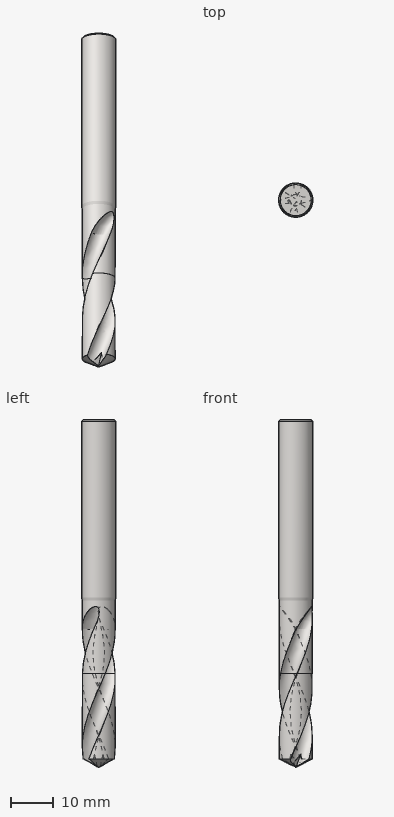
import cadquery as cq
import math

TOTAL_LENGTH = 81.0
SHANK_DIAMETER = 8.0
DRILL_DIAMETER = 7.7
SHANK_BOTTOM = 39.5
NECK_CONE_HEIGHT = 0.7
SHANK_CHAMFER = 0.4
JOINT_HEIGHT = 21.9
POINT_HEIGHT = 2.0

FLUTE_COUNT = 2
FLUTE_PITCH = 54.7
FLUTE_ANGLE = -85.5
FLUTE_MOUTH_ANGLE = 71.0
CORE_RADIUS = 1.3
RUNOUT_START = 32.15
RUNOUT_END = 37.5
RUNOUT_CURVE = 1.5
RUNOUT_EXTRA_TURN = 8.0
RUNOUT_SECTIONS = 3

GASH_VALLEY_START = (-0.25, -0.2, -0.8)
GASH_VALLEY_END = (1.3, -1.05, 3.5)
GASH_LEADING_CORNER = (-1.3, -2.1, 0.65)
GASH_TRAILING_CORNER = (2.4, -1.8, 0.25)

ORIGIN = cq.Vector(0, 0, 0)
Z_AXIS = cq.Vector(0, 0, 1)

shank_radius = SHANK_DIAMETER / 2
drill_radius = DRILL_DIAMETER / 2

mouth_half_angle = math.radians(FLUTE_MOUTH_ANGLE / 2)
mouth_x = drill_radius * math.cos(mouth_half_angle)
mouth_y = drill_radius * math.sin(mouth_half_angle)
mouth_depth = mouth_x - CORE_RADIUS
flute_radius = (mouth_depth**2 + mouth_y**2) / (2 * mouth_depth)
flute_offset = CORE_RADIUS + flute_radius


def turned(profile):
    """Revolve a closed (radius, height) profile about Z."""
    return cq.Workplane("XZ").polyline(profile).close().revolve(360, (0, 0), (0, 1))


def flute_circle(height):
    """Flute cross-section in the run-out, moved outward until it clears the drill at the end."""
    progress = (height - RUNOUT_START) / (RUNOUT_END - RUNOUT_START)
    outward = (drill_radius - CORE_RADIUS) * progress**RUNOUT_CURVE
    center = cq.Vector(flute_offset + outward, 0, height)
    circle = cq.Wire.makeCircle(flute_radius, center, Z_AXIS)
    turn = 360 * height / FLUTE_PITCH + RUNOUT_EXTRA_TURN * progress
    return circle.rotate(ORIGIN, Z_AXIS, turn)


def flute_cutters():
    """Helical and run-out cutters for every flute."""
    helix = (
        cq.Workplane("XY")
        .moveTo(flute_offset, 0)
        .circle(flute_radius)
        .twistExtrude(RUNOUT_START, 360 * RUNOUT_START / FLUTE_PITCH)
        .val()
    )
    step = (RUNOUT_END - RUNOUT_START) / RUNOUT_SECTIONS
    circles = [flute_circle(RUNOUT_START + i * step) for i in range(RUNOUT_SECTIONS + 1)]
    runout = cq.Solid.makeLoft(circles)
    cutters = []
    for i in range(FLUTE_COUNT):
        angle = FLUTE_ANGLE + 360 * i / FLUTE_COUNT
        for cutter in (helix, runout):
            cutters.append(cutter.rotate(ORIGIN, Z_AXIS, angle))
    return cutters


def cut_flutes(body):
    for cutter in flute_cutters():
        body = body.cut(cq.Workplane(cutter))
    return body


def gash_cutter():
    """Four-sided cutter that thins the web at the point."""
    corners = [GASH_VALLEY_START, GASH_VALLEY_END, GASH_LEADING_CORNER, GASH_TRAILING_CORNER]
    faces = []
    for skipped in corners:
        triangle = [cq.Vector(*corner) for corner in corners if corner != skipped]
        faces.append(cq.Face.makeFromWires(cq.Wire.makePolygon(triangle, close=True)))
    return cq.Solid.makeSolid(cq.Shell.makeShell(faces))


def make_head():
    """Fluted cutting head with a gashed conical point."""
    blank = turned([
        (0, 0),
        (drill_radius, POINT_HEIGHT),
        (drill_radius, JOINT_HEIGHT),
        (0, JOINT_HEIGHT),
    ])
    head = cut_flutes(blank)
    gash = gash_cutter()
    for i in range(FLUTE_COUNT):
        head = head.cut(cq.Workplane(gash.rotate(ORIGIN, Z_AXIS, 360 * i / FLUTE_COUNT)))
    return head


def make_shank():
    """Plain shank, with a fluted neck of the drill diameter below it."""
    blank = turned([
        (0, JOINT_HEIGHT),
        (drill_radius, JOINT_HEIGHT),
        (drill_radius, SHANK_BOTTOM - NECK_CONE_HEIGHT),
        (shank_radius, SHANK_BOTTOM),
        (shank_radius, TOTAL_LENGTH - SHANK_CHAMFER),
        (shank_radius - SHANK_CHAMFER, TOTAL_LENGTH),
        (0, TOTAL_LENGTH),
    ])
    return cut_flutes(blank)


head = make_head()
shank = make_shank()

result = cq.Compound.makeCompound([*head.vals(), *shank.vals()])